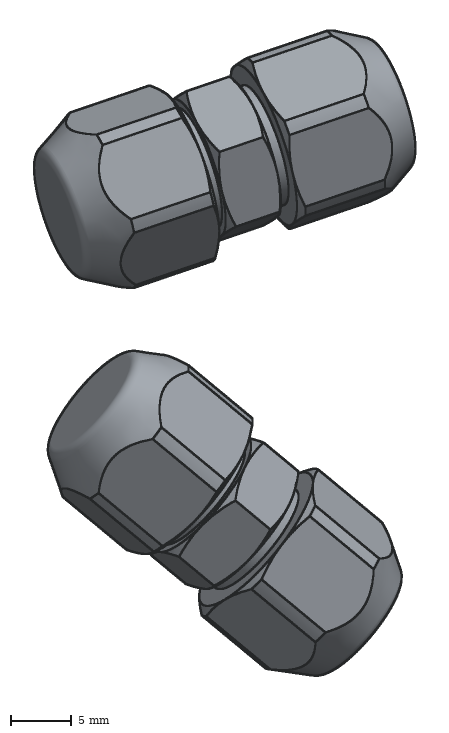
import cadquery as cq
import math


total_length = 30.0
hex_length = 5.0
hex_across_flats = 12.0
neck_length = 1.0
neck_diameter = 10.5
nut_across_flats = 14.0
nut_diameter = 15.5
nut_end_diameter = 11.0
nut_end_round = 1.0
bevel_angle = 30.0
cone_angle = 30.0
front_nut_turn = 3.1

nut_length = (total_length - hex_length) / 2 - neck_length
nut_start = hex_length / 2 + neck_length
corners_per_flat = 1 / math.cos(math.radians(30))
hex_across_corners = hex_across_flats * corners_per_flat
nut_across_corners = nut_across_flats * corners_per_flat


def bevel_length(outer_diameter, across_flats):
    """Axial length of a bevel that starts on the circle touching the flats."""
    return (outer_diameter - across_flats) / 2 * math.tan(math.radians(bevel_angle))


def revolved(profile_points):
    """Solid of revolution about Z from a half profile of (radius, height) points."""
    return cq.Workplane("XZ").polyline(profile_points).close().revolve(360, (0, 0, 0), (0, 1, 0))


def make_nut():
    """Cap nut standing on Z = 0, nose up, with corners on the X axis."""
    outer_radius = nut_diameter / 2
    end_radius = nut_end_diameter / 2
    nose_length = (outer_radius - end_radius) / math.tan(math.radians(cone_angle))
    envelope = revolved([
        (0, 0),
        (nut_across_flats / 2, 0),
        (outer_radius, bevel_length(nut_diameter, nut_across_flats)),
        (outer_radius, nut_length - nose_length),
        (end_radius, nut_length),
        (0, nut_length),
    ])
    envelope = envelope.faces(">Z").edges().fillet(nut_end_round)
    prism = cq.Workplane("XY").polygon(6, nut_across_corners).extrude(nut_length)
    return prism.intersect(envelope)


def make_hexagon():
    """Central hexagon standing on Z = 0, its corners bevelled at both ends."""
    bevel = bevel_length(hex_across_corners, hex_across_flats)
    flat_radius = hex_across_flats / 2
    corner_radius = hex_across_corners / 2
    envelope = revolved([
        (0, 0),
        (flat_radius, 0),
        (corner_radius, bevel),
        (corner_radius, hex_length - bevel),
        (flat_radius, hex_length),
        (0, hex_length),
    ])
    prism = cq.Workplane("XY").polygon(6, hex_across_corners).extrude(hex_length)
    return prism.intersect(envelope)


def make_neck():
    """Round body that passes through the hexagon and joins the two nuts."""
    return cq.Workplane("XY").circle(neck_diameter / 2).extrude(2 * nut_start)


def lay_along_y(solid, start):
    """Lay a solid standing on Z = 0 along +Y, its base at Y = start."""
    return solid.rotate((0, 0, 0), (1, 0, 0), -90).translate((0, start, 0))


rear_nut = lay_along_y(make_nut(), nut_start)
front_nut = rear_nut.rotate((0, 0, 0), (0, 0, 1), 180)
front_nut = front_nut.rotate((0, 0, 0), (0, 1, 0), 90 - front_nut_turn)
hexagon = lay_along_y(make_hexagon(), -hex_length / 2)
neck = lay_along_y(make_neck(), -nut_start)

result = neck.union(hexagon).union(rear_nut).union(front_nut)